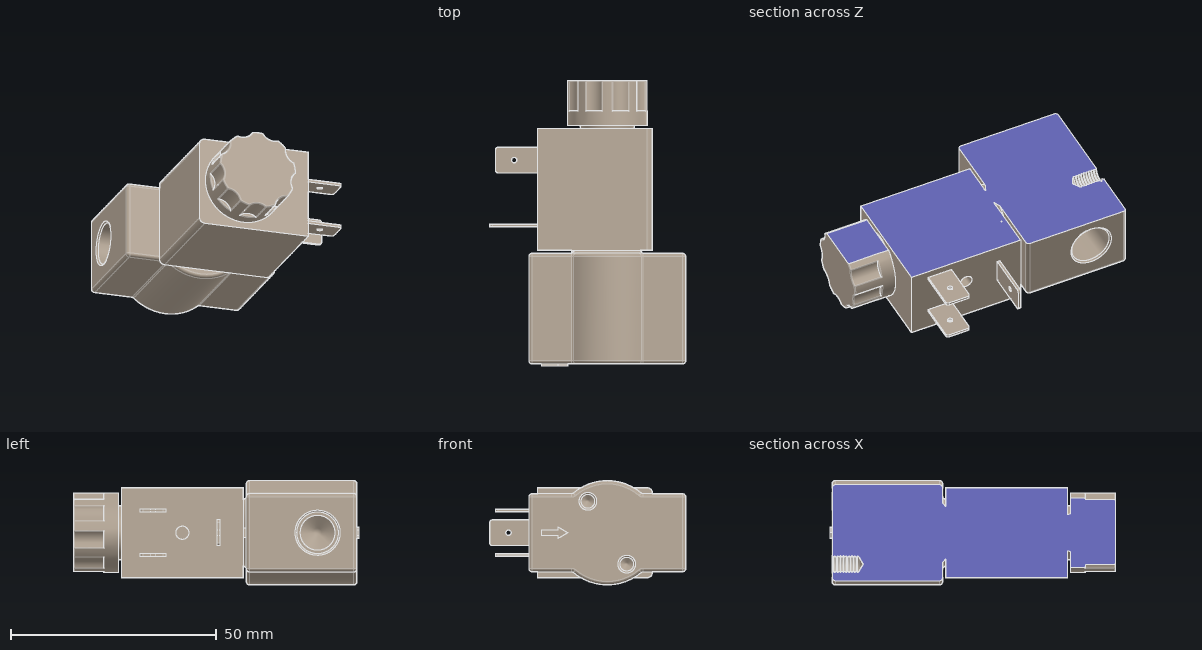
import cadquery as cq
import math

ARROW_HEIGHT = 0.5
OVERALL_LENGTH = 69.4
OVERALL_WIDTH = 47.7

BODY_WIDTH = 38.15
BODY_HEIGHT = 19.0
BODY_LENGTH = 26.9
BULGE_RADIUS = 12.7
BULGE_BLEND = 0.6
BODY_EDGE_RADIUS = 0.8

PORT_Y = 9.6
PORT_RADIUS = 5.1
PORT_DEPTH = 9.0
PORT_CHAMFER = 0.4
PORT_TIP_RADIUS = 4.2
PORT_TIP_DEPTH = 2.5

MOUNT_X = 4.7
MOUNT_Z = 7.6
MOUNT_MOUTH_RADIUS = 2.15
THREAD_MINOR_RADIUS = 1.7
THREAD_MAJOR_RADIUS = 2.0
THREAD_PITCH = 0.7
THREAD_TURNS = 9
DRILL_TIP_DEPTH = 1.0

ARROW_TAIL_X = -16.0
ARROW_SHOULDER_X = -12.0
ARROW_TIP_X = -9.6
ARROW_SHAFT_HALF = 0.7
ARROW_HEAD_HALF = 1.4

GAP = 0.7
COIL_START = BODY_LENGTH + GAP
COIL_LENGTH = 29.6
COIL_END = COIL_START + COIL_LENGTH
COIL_LEFT = -17.0
COIL_RIGHT = 10.95
COIL_HEIGHT = 21.9
COIL_EDGE_RADIUS = 1.3
SCREW_HOLE_RADIUS = 1.6
SCREW_HOLE_DEPTH = 4.15

TAB_THICKNESS = 0.7
TAB_WIDTH = 6.3
TAB_CORNER_RADIUS = 0.7
TAB_HOLE_RADIUS = 0.6
TAB_HOLE_FROM_TIP = 4.6
SIDE_TAB_TIP_X = -27.2
SIDE_TAB_Y = 49.55
SIDE_TAB_Z = 5.4
EARTH_TAB_TIP_X = BODY_WIDTH / 2 - OVERALL_WIDTH
EARTH_TAB_Y = 33.65

FRONT_NECK_RADIUS = 8.7
FRONT_NECK_TAPER = 45.0
REAR_NECK_RADIUS = 6.65
REAR_NECK_TAPER = 10.0
KEY_WIDTH = 2.3

CAP_RADIUS = 9.7
CAP_START = COIL_END + GAP
CAP_END = OVERALL_LENGTH - ARROW_HEIGHT
FLUTE_COUNT = 9
FLUTE_FIRST_ANGLE = 30.0
FLUTE_LENGTH = 7.3
FLUTE_HALF_WIDTH = 2.1
FLUTE_DEPTH = 1.0
CAP_EDGE_RADIUS = 0.2

OVERLAP = 0.7
TOLERANCE = 0.01


def cylinder_y(radius, start, end):
    """A cylinder about the Y axis from Y = start to Y = end."""
    return cq.Workplane("XZ", origin=(0, start, 0)).circle(radius).extrude(start - end)


def valve_body():
    block = cq.Workplane("XY").box(BODY_WIDTH, BODY_LENGTH, BODY_HEIGHT)
    block = block.translate((0, BODY_LENGTH / 2, 0))
    body = block.union(cylinder_y(BULGE_RADIUS, 0, BODY_LENGTH))
    seam_x = math.sqrt(BULGE_RADIUS**2 - (BODY_HEIGHT / 2) ** 2)
    seam_box = cq.selectors.BoxSelector(
        (-seam_x - OVERLAP, 0, -BODY_HEIGHT), (seam_x + OVERLAP, BODY_LENGTH, BODY_HEIGHT)
    )
    body = body.edges("|Y").edges(seam_box).fillet(BULGE_BLEND)
    body = body.faces("<X or >X").edges("|Y").fillet(BODY_EDGE_RADIUS)
    return body.faces("<Y or >Y").edges().fillet(BODY_EDGE_RADIUS)


def port():
    """Cutter for the port on the -X end: a chamfered bore with a conical bottom."""
    mouth = -BODY_WIDTH / 2
    floor = mouth + PORT_DEPTH
    profile = [
        (mouth - OVERLAP, 0),
        (mouth - OVERLAP, PORT_RADIUS + PORT_CHAMFER),
        (mouth, PORT_RADIUS + PORT_CHAMFER),
        (mouth + PORT_CHAMFER, PORT_RADIUS),
        (floor, PORT_RADIUS),
        (floor, PORT_TIP_RADIUS),
        (floor + PORT_TIP_DEPTH, 0),
    ]
    cutter = cq.Workplane("XY").polyline(profile).close().revolve(360, (0, 0, 0), (1, 0, 0))
    return cutter.translate((0, PORT_Y, 0))


def mounting_hole(x, z):
    """Cutter for a tapped blind hole: ring-shaped thread grooves and a drill tip."""
    profile = [(0, -OVERLAP), (MOUNT_MOUTH_RADIUS, -OVERLAP), (MOUNT_MOUTH_RADIUS, 0)]
    for turn in range(THREAD_TURNS):
        profile.append((THREAD_MINOR_RADIUS, (turn + 0.5) * THREAD_PITCH))
        profile.append((THREAD_MAJOR_RADIUS, (turn + 1) * THREAD_PITCH))
    thread_end = (THREAD_TURNS + 0.5) * THREAD_PITCH
    profile.append((THREAD_MINOR_RADIUS, thread_end))
    profile.append((0, thread_end + DRILL_TIP_DEPTH))
    cutter = cq.Workplane("XY").polyline(profile).close().revolve(360, (0, 0, 0), (0, 1, 0))
    return cutter.translate((x, 0, z))


def flow_arrow():
    outline = [
        (ARROW_TAIL_X, ARROW_SHAFT_HALF),
        (ARROW_SHOULDER_X, ARROW_SHAFT_HALF),
        (ARROW_SHOULDER_X, ARROW_HEAD_HALF),
        (ARROW_TIP_X, 0),
        (ARROW_SHOULDER_X, -ARROW_HEAD_HALF),
        (ARROW_SHOULDER_X, -ARROW_SHAFT_HALF),
        (ARROW_TAIL_X, -ARROW_SHAFT_HALF),
    ]
    root = cq.Workplane("XZ", origin=(0, OVERLAP, 0))
    return root.polyline(outline).close().extrude(OVERLAP + ARROW_HEIGHT)


def coil():
    width = COIL_RIGHT - COIL_LEFT
    block = cq.Workplane("XY").box(width, COIL_LENGTH, COIL_HEIGHT)
    block = block.translate(((COIL_LEFT + COIL_RIGHT) / 2, (COIL_START + COIL_END) / 2, 0))
    block = block.faces(">X").edges("|Y").fillet(COIL_EDGE_RADIUS)
    return block.faces("<X").workplane(centerOption="CenterOfBoundBox").hole(
        2 * SCREW_HOLE_RADIUS, SCREW_HOLE_DEPTH
    )


def contact_tab(tip_x):
    """A flat tab in the XY plane, rooted in the coil, with its tip at X = tip_x."""
    length = COIL_LEFT + OVERLAP - tip_x
    tab = cq.Workplane("XY").box(length, TAB_WIDTH, TAB_THICKNESS)
    tab = tab.translate((tip_x + length / 2, 0, 0))
    tab = tab.faces("<X").edges("|Z").fillet(TAB_CORNER_RADIUS)
    hole = cq.Workplane("XY").center(tip_x + TAB_HOLE_FROM_TIP, 0).circle(TAB_HOLE_RADIUS)
    return tab.cut(hole.extrude(TAB_THICKNESS, both=True))


def necks():
    """Two necks that narrow toward the coil; the front one has a locating key."""
    front = cq.Workplane("XZ", origin=(0, BODY_LENGTH, 0)).circle(FRONT_NECK_RADIUS)
    front = front.extrude(-GAP - OVERLAP, taper=FRONT_NECK_TAPER)
    key = cq.Workplane("XY").box(FRONT_NECK_RADIUS, GAP + 2 * OVERLAP, KEY_WIDTH)
    key = key.translate((-FRONT_NECK_RADIUS / 2, BODY_LENGTH + GAP / 2, 0))
    rear = cq.Workplane("XZ", origin=(0, CAP_START, 0)).circle(REAR_NECK_RADIUS)
    rear = rear.extrude(GAP + OVERLAP, taper=REAR_NECK_TAPER)
    return front.union(key).union(rear)


def is_rounded_cap_edge(edge):
    """True for the flute rims on the outer surface and for the outline of the rear face."""
    middle = edge.positionAt(0.5)
    on_outer_surface = math.hypot(middle.x, middle.z) > CAP_RADIUS - TOLERANCE
    beside_flute = middle.y > CAP_END - FLUTE_LENGTH - TOLERANCE
    on_rear_face = middle.y > CAP_END - TOLERANCE
    return on_rear_face or (on_outer_surface and beside_flute)


def cap():
    body = cylinder_y(CAP_RADIUS, CAP_START, CAP_END)
    chord_x = math.sqrt(CAP_RADIUS**2 - FLUTE_HALF_WIDTH**2)
    chord_depth = FLUTE_DEPTH - (CAP_RADIUS - chord_x)
    flute_radius = (FLUTE_HALF_WIDTH**2 + chord_depth**2) / (2 * chord_depth)
    flute_center = CAP_RADIUS - FLUTE_DEPTH + flute_radius
    flute = cq.Workplane("XZ", origin=(0, CAP_END - FLUTE_LENGTH, 0)).center(flute_center, 0)
    flute = flute.circle(flute_radius).extrude(-FLUTE_LENGTH - OVERLAP)
    for index in range(FLUTE_COUNT):
        angle = FLUTE_FIRST_ANGLE + index * 360 / FLUTE_COUNT
        body = body.cut(flute.rotate((0, 0, 0), (0, 1, 0), -angle))
    return body.edges().filter(is_rounded_cap_edge).fillet(CAP_EDGE_RADIUS)


result = valve_body().union(flow_arrow())
inlet = port()
result = result.cut(inlet).cut(inlet.mirror("YZ"))
result = result.cut(mounting_hole(-MOUNT_X, MOUNT_Z)).cut(mounting_hole(MOUNT_X, -MOUNT_Z))

result = result.union(coil()).union(necks()).union(cap())

side_tab = contact_tab(SIDE_TAB_TIP_X)
for side in (-1, 1):
    result = result.union(side_tab.translate((0, SIDE_TAB_Y, side * SIDE_TAB_Z)))
earth_tab = contact_tab(EARTH_TAB_TIP_X).rotate((0, 0, 0), (1, 0, 0), 90)
result = result.union(earth_tab.translate((0, EARTH_TAB_Y, 0)))